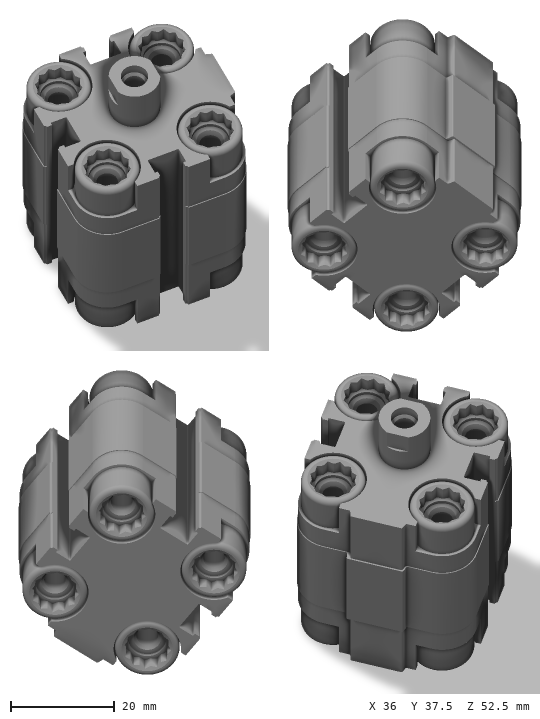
import cadquery as cq
import math

total_height = 52.5
housing_height = 43.0
cap_height = 12.5
barrel_height = housing_height - 2 * cap_height

barrel_half_width = 18.0
cap_half_width = barrel_half_width - 0.185
corner_pitch = 22.0
corner_offset = corner_pitch / 2

barrel_ridge_crest = 19.5
barrel_ridge_foot = (-6.05, 6.05)
barrel_ridge_top = (-5.65, 5.65)
cap_ridge_crest = 19.15
cap_ridge_foot = (-5.85, 5.45)
cap_ridge_top = (-5.4, 5.0)
ridge_round = 0.2

slot_floor = 12.95
slot_lip = 16.35
slot_half_width = 3.3
mouth_half_width = 2.705
mouth_round = 0.4
slot_floor_round = 0.2
slot_side_angles = (-90, 0, 90)

boss_diameter = 12.5
boss_round = 1.0
pocket_depth = 7.5
pocket_diameter = 13.0
pocket_edge = 7.75

socket_across_flats = 8.0
socket_depth = 3.25
socket_mouth_diameter = 10.0
socket_mouth_angle = 30.0
step_diameter = 7.2
step_depth = 4.0
hole_countersink_diameter = 5.3
hole_countersink_angle = 55.0
hole_diameter = 4.15

rod_diameter = 10.0
rod_insertion = cap_height
flat_width = 9.0
flat_height = 4.2
rod_counterbore_diameter = 5.3
rod_counterbore_depth = 2.1
rod_countersink_diameter = 5.0
rod_countersink_angle = 45.0
rod_hole_diameter = 4.15
rod_hole_depth = 12.0
rod_hole_tip_angle = 30.0


def cone_depth(large_diameter, small_diameter, angle):
    """Height of a cone whose wall rises at the given angle from the horizontal."""
    return (large_diameter - small_diameter) / 2 * math.tan(math.radians(angle))


def turned(profile):
    """Solid of revolution about the Z axis from (radius, z) points."""
    return cq.Workplane("XZ").polyline(profile).close().revolve(360, (0, 0), (0, 1))


def disc(diameter, bottom, height):
    return cq.Workplane().workplane(offset=bottom).circle(diameter / 2).extrude(height)




def outline_block(half_width, height, foot, top, crest):
    """Rounded square block with the tapered ridge on its +Y side."""
    block = cq.Workplane().rect(2 * half_width, 2 * half_width).extrude(height)
    block = block.edges("|Z").fillet(half_width - corner_offset)
    ridge_points = [
        (foot[0], slot_floor),
        (foot[1], slot_floor),
        (foot[1], half_width),
        (top[1], crest),
        (top[0], crest),
        (foot[0], half_width),
    ]
    ridge = cq.Workplane().polyline(ridge_points).close().extrude(height)
    ridge = ridge.faces(">Y").edges("|Z").fillet(ridge_round)
    block = block.union(ridge)
    foot_zone = cq.selectors.BoxSelector(
        (foot[0] - ridge_round, half_width - ridge_round, 0),
        (foot[1] + ridge_round, half_width + ridge_round, height),
    )
    return block.edges("|Z").edges(foot_zone).fillet(ridge_round)


def t_slot(half_width, height):
    """Cutter for the slot on the -Y side, with rounded lip edges at the outer face."""
    lip_tangent = half_width - mouth_round
    mouth_outer = mouth_half_width + mouth_round
    floor_tangent = slot_half_width - slot_floor_round
    wall_tangent = slot_floor + slot_floor_round
    return (
        cq.Workplane()
        .moveTo(-mouth_outer, -half_width)
        .radiusArc((-mouth_half_width, -lip_tangent), mouth_round)
        .lineTo(-mouth_half_width, -slot_lip)
        .lineTo(-slot_half_width, -slot_lip)
        .lineTo(-slot_half_width, -wall_tangent)
        .radiusArc((-floor_tangent, -slot_floor), slot_floor_round)
        .lineTo(floor_tangent, -slot_floor)
        .radiusArc((slot_half_width, -wall_tangent), slot_floor_round)
        .lineTo(slot_half_width, -slot_lip)
        .lineTo(mouth_half_width, -slot_lip)
        .lineTo(mouth_half_width, -lip_tangent)
        .radiusArc((mouth_outer, -half_width), mouth_round)
        .close()
        .extrude(height)
    )


def housing_section(half_width, height, foot, top, crest):
    """One length of the housing with its ridge and its three T-slots."""
    section = outline_block(half_width, height, foot, top, crest)
    slot = t_slot(half_width, height)
    for angle in slot_side_angles:
        section = section.cut(slot.rotate((0, 0, 0), (0, 0, 1), angle))
    return section


def corner_pocket(x_side, y_side):
    """Cutter for one pocket at the top end: a round well, open towards the corner."""
    bottom = housing_height - pocket_depth
    well = disc(pocket_diameter, bottom, pocket_depth)
    well = well.translate((x_side * corner_offset, y_side * corner_offset, 0))
    open_size = barrel_half_width - pocket_edge
    open_center = pocket_edge + open_size / 2
    opening = (
        cq.Workplane()
        .workplane(offset=bottom)
        .center(x_side * open_center, y_side * open_center)
        .rect(open_size, open_size)
        .extrude(pocket_depth)
    )
    return well.union(opening)


def corner_boss():
    """Boss at the top end, on the Z axis."""
    boss = disc(boss_diameter, housing_height - pocket_depth, pocket_depth)
    return boss.faces(">Z").edges().fillet(boss_round)


def boss_socket():
    """Cutter on the Z axis for a twelve-point socket and the upper half of the hole below it."""
    socket_floor = housing_height - socket_depth
    step_floor = housing_height - step_depth
    countersink = cone_depth(hole_countersink_diameter, hole_diameter, hole_countersink_angle)
    hole = turned(
        [
            (0, socket_floor),
            (step_diameter / 2, socket_floor),
            (step_diameter / 2, step_floor),
            (hole_countersink_diameter / 2, step_floor),
            (hole_diameter / 2, step_floor - countersink),
            (hole_diameter / 2, housing_height / 2),
            (0, housing_height / 2),
        ]
    )
    mouth = turned(
        [
            (0, housing_height),
            (socket_mouth_diameter / 2, housing_height),
            (0, housing_height - cone_depth(socket_mouth_diameter, 0, socket_mouth_angle)),
        ]
    )
    across_corners = socket_across_flats / math.cos(math.pi / 6)
    hexagon = cq.Workplane().workplane(offset=socket_floor).polygon(6, across_corners).extrude(socket_depth)
    crossed_hexagon = hexagon.rotate((0, 0, 0), (0, 0, 1), 30)
    return hole.union(hexagon).union(crossed_hexagon).union(mouth)


def make_housing():
    barrel = housing_section(
        barrel_half_width, barrel_height, barrel_ridge_foot, barrel_ridge_top, barrel_ridge_crest
    )
    cap = housing_section(cap_half_width, cap_height, cap_ridge_foot, cap_ridge_top, cap_ridge_crest)
    body = barrel.translate((0, 0, cap_height)).union(cap)
    body = body.union(cap.translate((0, 0, cap_height + barrel_height)))

    mid_height = (0, 0, housing_height / 2)
    boss = corner_boss()
    socket = boss_socket()
    for x_side in (-1, 1):
        for y_side in (-1, 1):
            corner = (x_side * corner_offset, y_side * corner_offset, 0)
            pocket = corner_pocket(x_side, y_side)
            placed_boss = boss.translate(corner)
            placed_socket = socket.translate(corner)
            body = body.cut(pocket).cut(pocket.mirror("XY", mid_height))
            body = body.union(placed_boss).union(placed_boss.mirror("XY", mid_height))
            body = body.cut(placed_socket).cut(placed_socket.mirror("XY", mid_height))

    rod_seat = disc(rod_diameter, housing_height - rod_insertion, rod_insertion)
    return body.cut(rod_seat)




def make_rod():
    rod_bottom = housing_height - rod_insertion
    rod = disc(rod_diameter, rod_bottom, total_height - rod_bottom)
    flats = (
        cq.Workplane()
        .workplane(offset=total_height - flat_height)
        .rect(2 * rod_diameter, 2 * rod_diameter)
        .rect(2 * rod_diameter, flat_width)
        .extrude(flat_height)
    )
    counterbore_floor = total_height - rod_counterbore_depth
    countersink = cone_depth(rod_countersink_diameter, rod_hole_diameter, rod_countersink_angle)
    hole_floor = total_height - rod_hole_depth
    hole = turned(
        [
            (0, total_height),
            (rod_counterbore_diameter / 2, total_height),
            (rod_counterbore_diameter / 2, counterbore_floor),
            (rod_countersink_diameter / 2, counterbore_floor),
            (rod_hole_diameter / 2, counterbore_floor - countersink),
            (rod_hole_diameter / 2, hole_floor),
            (0, hole_floor - cone_depth(rod_hole_diameter, 0, rod_hole_tip_angle)),
        ]
    )
    return rod.cut(flats).cut(hole)


housing = make_housing()
rod = make_rod()
result = cq.Compound.makeCompound([housing.val(), rod.val()])